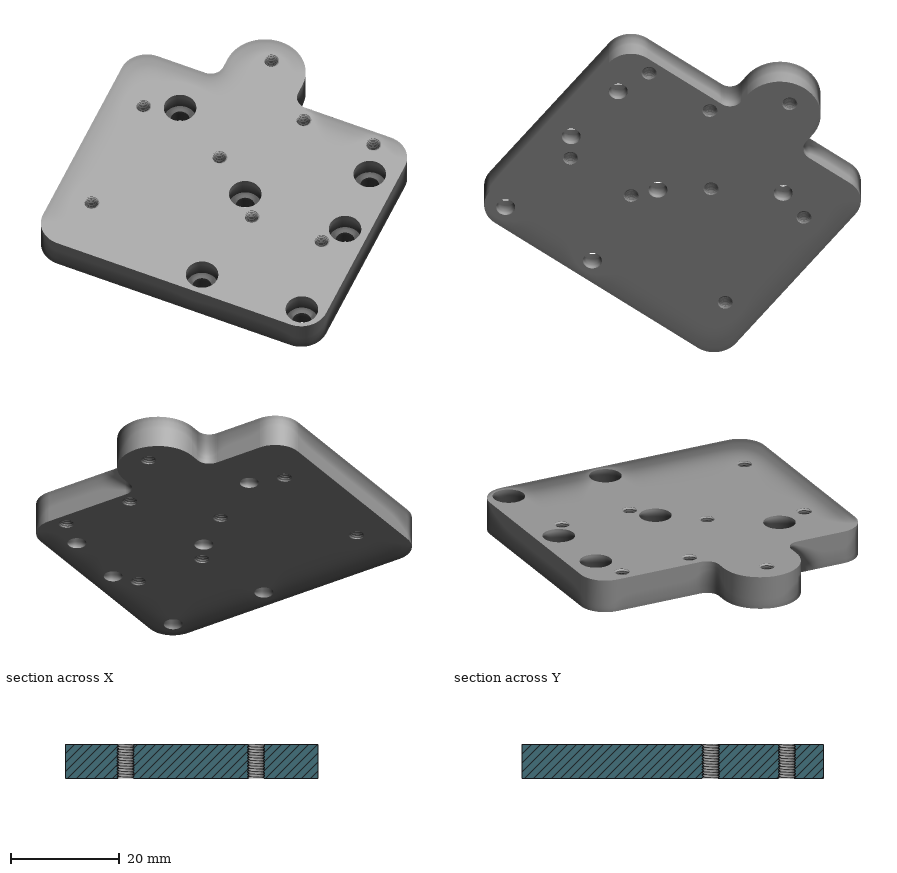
import cadquery as cq
import math

plate_width = 56.72
overall_length = 58.49
thickness = 6.35
corner_radius = 5.0

tab_radius = 7.5
tab_projection = 12.0
tab_x = -3.8
tab_fillet = 2.5
plate_length = overall_length - tab_projection

screw_diameter = 3.5
counterbore_diameter = 5.99
counterbore_depth = 3.5
square_pitch = 20.0
square_right_x = 23.93
square_front_y = 4.0
pair_pitch = 38.0
pair_right_x = 23.12
pair_y = 37.3

thread_minor_diameter = 2.53
thread_major_diameter = 3.09
thread_pitch = 0.5
thread_root_width = thread_pitch / 8
thread_flank_angle = math.radians(30)
thread_turn = 65.0
thread_overlap = 0.08
sleeve_diameter = 3.7
tapped_spacing = 24.0
tapped_front_points = [
    (-21.3, 11.1),
    (tab_x, 29.95),
    (7.0, 19.87),
    (21.0, 19.87),
]


def plate_body():
    plate = (
        cq.Workplane("XY")
        .center(0, plate_length / 2)
        .rect(plate_width, plate_length)
        .extrude(thickness)
        .edges("|Z")
        .fillet(corner_radius)
    )
    tab_centre_y = overall_length - tab_radius
    tab_root_y = plate_length / 2
    tab = (
        cq.Workplane("XY")
        .moveTo(tab_x - tab_radius, tab_root_y)
        .lineTo(tab_x - tab_radius, tab_centre_y)
        .threePointArc((tab_x, overall_length), (tab_x + tab_radius, tab_centre_y))
        .lineTo(tab_x + tab_radius, tab_root_y)
        .close()
        .extrude(thickness)
    )
    margin = 1.0
    inner_corners = cq.selectors.BoxSelector(
        (tab_x - tab_radius - margin, plate_length - margin, -margin),
        (tab_x + tab_radius + margin, plate_length + margin, thickness + margin),
    )
    return plate.union(tab).edges("|Z").edges(inner_corners).fillet(tab_fillet)


def screw_points():
    square = [
        (square_right_x - column * square_pitch, square_front_y + row * square_pitch)
        for column in range(2)
        for row in range(2)
    ]
    pair = [(pair_right_x - column * pair_pitch, pair_y) for column in range(2)]
    return square + pair


def tapped_points():
    return [(x, y + row * tapped_spacing) for x, y in tapped_front_points for row in range(2)]


def thread_ridge():
    """Helical solid that cuts the thread groove, running past both faces of the plate."""
    major_radius = thread_major_diameter / 2
    inner_radius = thread_minor_diameter / 2 - thread_overlap
    flank_rise = (major_radius - inner_radius) * math.tan(thread_flank_angle)
    root_half = thread_root_width / 2
    mouth_half = root_half + flank_rise
    start_z = -thread_pitch
    height = thickness + 2 * thread_pitch
    path = cq.Wire.makeHelix(thread_pitch, height, inner_radius, cq.Vector(0, 0, start_z))
    ridge = (
        cq.Workplane("XZ")
        .polyline([
            (inner_radius, start_z - mouth_half),
            (major_radius, start_z - root_half),
            (major_radius, start_z + root_half),
            (inner_radius, start_z + mouth_half),
        ])
        .close()
        .sweep(cq.Workplane(path), isFrenet=True)
    )
    return ridge.rotate((0, 0, 0), (0, 0, 1), thread_turn)


def threaded_sleeve():
    """Plug of plate material with the threaded hole through it; the groove is cut before the core."""
    plug = cq.Workplane("XY").circle(sleeve_diameter / 2).extrude(thickness)
    core = cq.Workplane("XY").circle(thread_minor_diameter / 2).extrude(thickness)
    return plug.cut(thread_ridge()).cut(core)


def add_screw_holes(body):
    return (
        body.faces(">Z")
        .workplane(origin=(0, 0, thickness))
        .pushPoints(screw_points())
        .cboreHole(screw_diameter, counterbore_diameter, counterbore_depth)
    )


def add_tapped_holes(body):
    """Replace a plug of the plate at each tapped hole with a copy of one threaded sleeve."""
    places = cq.Workplane("XY").pushPoints(tapped_points())
    sleeve = threaded_sleeve().val()
    seats = places.circle(sleeve_diameter / 2).extrude(thickness)
    sleeves = places.eachpoint(lambda place: sleeve.moved(place))
    return body.cut(seats).union(sleeves)


result = add_tapped_holes(add_screw_holes(plate_body())).solids()